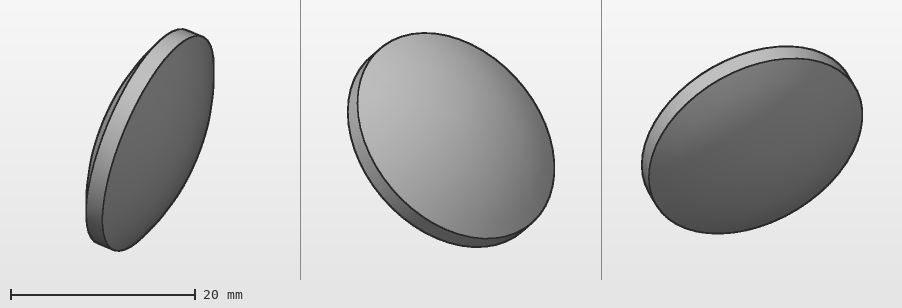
import cadquery as cq

diameter = 25.0
centre_thickness = 8.95
edge_thickness = 2.02

radius = diameter / 2
half_centre = centre_thickness / 2
half_edge = edge_thickness / 2

face_depth = half_centre - half_edge
face_radius = (radius**2 + face_depth**2) / (2 * face_depth)


def point_on_face(distance_from_axis):
    """X position of the +X spherical face at a distance from the optical axis."""
    sphere_centre = half_centre - face_radius
    return sphere_centre + (face_radius**2 - distance_from_axis**2) ** 0.5


middle = radius / 2
middle_x = point_on_face(middle)
half_section = (
    cq.Workplane("XY")
    .moveTo(-half_centre, 0)
    .threePointArc((-middle_x, middle), (-half_edge, radius))
    .lineTo(half_edge, radius)
    .threePointArc((middle_x, middle), (half_centre, 0))
    .close()
)
result = half_section.revolve(360, (0, 0, 0), (1, 0, 0))